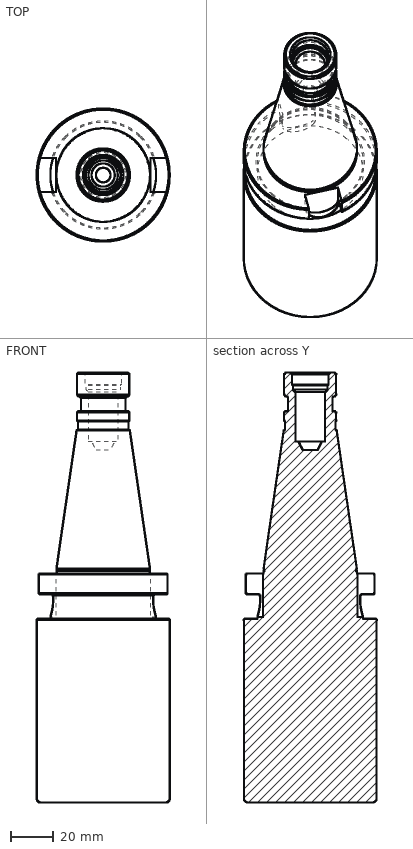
import cadquery as cq

total_height = 203.5

body_radius = 31.5
body_top = 87.0
body_base_round = 2.0
body_top_chamfer = 0.6

neck_radius = 25.0
neck_corner_chamfer = 0.6
flange_radius = 31.5
flange_bottom = 98.5
flange_top = 108.5
flange_chamfer = 0.6

gauge_radius = 22.2
gauge_height = 110.6
taper_slope = 7 / 48
taper_top = 176.0
relief_radius = 21.8
relief_top = 110.0
relief_bottom = 109.5
taper_top_radius = gauge_radius - taper_slope * (taper_top - gauge_height)

pilot_radius = 12.5
groove_radius = 12.0
groove_side_slope = 0.5
collar_bottom = 180.6
collar_top = 185.0
collar_chamfer = 0.6
neck_down_radius = 10.5
neck_down_chamfer = 0.6
head_bottom = 192.0
head_lower_chamfer_width = 0.6
head_lower_chamfer_height = 1.0
head_top_chamfer = 0.8

mouth_radius = 9.5
counterbore_radius = 8.5
counterbore_depth = 5.7
guide_radius = 8.1
guide_depth = 8.1
thread_radius = 7.0
thread_depth = 32.5
relief_step_radius = 5.5
hole_floor_radius = 3.5
hole_depth = 36.6

slot_width = 16.0
slot_floor = 22.4
slot_bottom = 87.9


def revolve_profile(points):
    """Turn a closed (radius, height) outline about the Z axis."""
    return cq.Workplane("XZ").polyline(points).close().revolve(360, (0, 0, 0), (0, 1, 0))


def make_body():
    body = cq.Workplane("XY").circle(body_radius).extrude(body_top)
    body = body.faces("<Z").edges().fillet(body_base_round)
    return body.faces(">Z").edges().chamfer(body_top_chamfer)


def make_flange():
    """Neck and flange, turned as one ring of steps."""
    return revolve_profile([
        (0, body_top),
        (neck_radius, body_top),
        (neck_radius, flange_bottom - neck_corner_chamfer),
        (neck_radius + neck_corner_chamfer, flange_bottom),
        (flange_radius - flange_chamfer, flange_bottom),
        (flange_radius, flange_bottom + flange_chamfer),
        (flange_radius, flange_top - flange_chamfer),
        (flange_radius - flange_chamfer, flange_top),
        (0, flange_top),
    ])


def make_shank():
    """Taper and grooved pilot above the flange."""
    return revolve_profile([
        (0, flange_top),
        (gauge_radius, flange_top),
        (gauge_radius, relief_bottom),
        (relief_radius, relief_bottom),
        (relief_radius, relief_top),
        (gauge_radius, gauge_height),
        (taper_top_radius, taper_top),
        (groove_radius, taper_top + groove_side_slope),
        (groove_radius, collar_bottom - groove_side_slope),
        (pilot_radius, collar_bottom),
        (pilot_radius, collar_top - collar_chamfer),
        (pilot_radius - collar_chamfer, collar_top),
        (neck_down_radius, collar_top),
        (neck_down_radius, head_bottom - neck_down_chamfer),
        (neck_down_radius + neck_down_chamfer, head_bottom),
        (pilot_radius - head_lower_chamfer_width, head_bottom),
        (pilot_radius, head_bottom + head_lower_chamfer_height),
        (pilot_radius, total_height - head_top_chamfer),
        (pilot_radius - head_top_chamfer, total_height),
        (0, total_height),
    ])


def make_drawbar_hole():
    mouth_chamfer = mouth_radius - counterbore_radius
    guide_chamfer = counterbore_radius - guide_radius
    thread_chamfer = guide_radius - thread_radius
    return revolve_profile([
        (0, total_height),
        (mouth_radius, total_height),
        (counterbore_radius, total_height - mouth_chamfer),
        (counterbore_radius, total_height - counterbore_depth),
        (guide_radius, total_height - counterbore_depth - guide_chamfer),
        (guide_radius, total_height - guide_depth),
        (thread_radius, total_height - guide_depth - thread_chamfer),
        (thread_radius, total_height - thread_depth),
        (relief_step_radius, total_height - thread_depth),
        (hole_floor_radius, total_height - hole_depth),
        (0, total_height - hole_depth),
    ])


def make_slot(side):
    """Round-bottomed driving slot on the +X (side = 1) or -X (side = -1) flank."""
    half_width = slot_width / 2
    arc_center = slot_bottom + half_width
    return (
        cq.Workplane("YZ", origin=(side * slot_floor, 0, 0))
        .moveTo(-half_width, flange_top)
        .lineTo(-half_width, arc_center)
        .threePointArc((0, slot_bottom), (half_width, arc_center))
        .lineTo(half_width, flange_top)
        .close()
        .extrude(side * flange_radius)
    )


result = make_body().union(make_flange()).union(make_shank()).cut(make_drawbar_hole())
for side in (-1, 1):
    result = result.cut(make_slot(side))